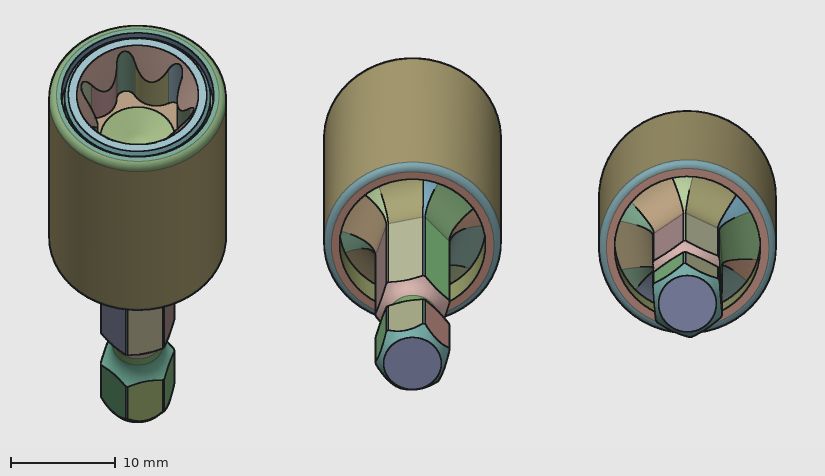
import cadquery as cq
import math

total_height = 50.0

sleeve_radius = 8.45
sleeve_length = 24.0
sleeve_edge_fillet = 0.7
bore_radius = 6.95
sleeve_base_z = total_height - sleeve_length

counterbore_radius = 7.25
counterbore_depth = 2.0
counterbore_taper_height = 0.5
driver_edge_chamfer = 0.35

hex_across_flats = 6.35
hex_corner_radius = 3.6
shank_tip_radius = 2.75
shank_tip_cone_half_angle = 28.0

neck_radius = 2.4
neck_mid_z = 9.5
neck_length = 1.05
neck_flare_radius = 2.4

shoulder_fillet = 5.0
shoulder_start_z = 25.0
shoulder_end_z = shoulder_start_z + shoulder_fillet
shoulder_blank_radius = 2 * shoulder_fillet

lobe_count = 6
socket_depth = 7.0
lobe_tip_distance = 5.55
lobe_tip_arc_radius = 0.9
ridge_distance = 3.95
socket_floor_z = total_height - socket_depth

mouth_radius = 5.8
mouth_cone_half_angle = 30.0

drill_radius = 3.55
drill_point_half_angle = 68.0


def polar(distance, angle):
    """Point at a distance from the axis, with the angle in degrees."""
    return (
        distance * math.cos(math.radians(angle)),
        distance * math.sin(math.radians(angle)),
    )


def cone_height(radius, half_angle):
    """Height of a cone with the given base radius and half angle in degrees."""
    return radius / math.tan(math.radians(half_angle))


def revolve_profile(profile):
    """Turn a closed XZ-plane profile around the Z axis."""
    return profile.close().revolve(360, (0, 0), (0, 1))


def make_sleeve():
    tube = (
        cq.Workplane("XY", origin=(0, 0, sleeve_base_z))
        .circle(sleeve_radius)
        .extrude(sleeve_length)
        .faces("<Z or >Z")
        .edges()
        .fillet(sleeve_edge_fillet)
    )
    tube = tube.cut(
        cq.Workplane("XY", origin=(0, 0, sleeve_base_z)).circle(bore_radius).extrude(sleeve_length)
    )
    return tube.cut(make_counterbore_cutter())


def make_counterbore_cutter():
    """Straight counterbore at the top of the bore, tapering down to the bore."""
    counterbore_floor_z = total_height - counterbore_depth
    taper_base_z = counterbore_floor_z - counterbore_taper_height
    return revolve_profile(
        cq.Workplane("XZ")
        .moveTo(0, total_height)
        .lineTo(counterbore_radius, total_height)
        .lineTo(counterbore_radius, counterbore_floor_z)
        .lineTo(bore_radius, taper_base_z)
        .lineTo(0, taper_base_z)
    )


def make_shank():
    """Hex shank with turned-down corners and a conical tip."""
    corner_to_corner = hex_across_flats / math.cos(math.radians(30))
    hexagon = cq.Workplane("XY").polygon(6, corner_to_corner).extrude(shoulder_end_z)
    tip_height = cone_height(hex_corner_radius - shank_tip_radius, shank_tip_cone_half_angle)
    envelope = revolve_profile(
        cq.Workplane("XZ")
        .lineTo(shank_tip_radius, 0)
        .lineTo(hex_corner_radius, tip_height)
        .lineTo(hex_corner_radius, shoulder_end_z)
        .lineTo(0, shoulder_end_z)
    )
    return hexagon.intersect(envelope)


def make_neck_cutter():
    """Ring that cuts the detent neck, with a flare arc at each end of a straight waist."""
    waist_low_z = neck_mid_z - neck_length / 2
    waist_high_z = neck_mid_z + neck_length / 2
    ring_radius = neck_radius + neck_flare_radius
    arc_drop = neck_flare_radius * math.sqrt(0.5)
    mid_radius = ring_radius - arc_drop
    return revolve_profile(
        cq.Workplane("XZ")
        .moveTo(neck_radius, waist_low_z)
        .lineTo(neck_radius, waist_high_z)
        .threePointArc((mid_radius, waist_high_z + arc_drop), (ring_radius, waist_high_z + neck_flare_radius))
        .lineTo(ring_radius, waist_low_z - neck_flare_radius)
        .threePointArc((mid_radius, waist_low_z - arc_drop), (neck_radius, waist_low_z))
    )


def make_socket_cutter():
    """Six-lobe prism whose lobe tips and ridges are tangent arcs."""
    half_pitch = 180.0 / lobe_count
    tip_centre = lobe_tip_distance - lobe_tip_arc_radius
    cos_pitch = math.cos(math.radians(half_pitch))
    ridge_arc_radius = (
        ridge_distance**2 + tip_centre**2 - 2 * ridge_distance * tip_centre * cos_pitch - lobe_tip_arc_radius**2
    ) / (2 * (lobe_tip_arc_radius - ridge_distance + tip_centre * cos_pitch))
    ridge_centre = ridge_distance + ridge_arc_radius

    ridge_x, ridge_y = polar(ridge_centre, half_pitch)
    share = lobe_tip_arc_radius / (lobe_tip_arc_radius + ridge_arc_radius)
    tangent_x = tip_centre + share * (ridge_x - tip_centre)
    tangent_y = share * ridge_y
    tangent_distance = math.hypot(tangent_x, tangent_y)
    tangent_angle = math.degrees(math.atan2(tangent_y, tangent_x))

    first_lobe_angle = 30.0
    outline = cq.Workplane("XY", origin=(0, 0, socket_floor_z)).moveTo(
        *polar(tangent_distance, first_lobe_angle - tangent_angle)
    )
    for lobe in range(lobe_count):
        angle = first_lobe_angle + 2 * half_pitch * lobe
        next_angle = angle + 2 * half_pitch
        outline = outline.threePointArc(
            polar(lobe_tip_distance, angle), polar(tangent_distance, angle + tangent_angle)
        ).threePointArc(
            polar(ridge_distance, angle + half_pitch), polar(tangent_distance, next_angle - tangent_angle)
        )
    return outline.close().extrude(socket_depth)


def make_mouth_cutter():
    """Cone that opens the socket and runs out at the ridges."""
    mouth_depth = cone_height(mouth_radius - ridge_distance, mouth_cone_half_angle)
    return revolve_profile(
        cq.Workplane("XZ")
        .moveTo(0, total_height)
        .lineTo(mouth_radius, total_height)
        .lineTo(ridge_distance, total_height - mouth_depth)
        .lineTo(0, total_height - mouth_depth)
    )


def make_drill_point_cutter():
    return revolve_profile(
        cq.Workplane("XZ")
        .moveTo(0, socket_floor_z)
        .lineTo(drill_radius, socket_floor_z)
        .lineTo(0, socket_floor_z - cone_height(drill_radius, drill_point_half_angle))
    )


def make_flared_shank():
    """Shank with a fillet on every side, up to a plate wider than the bore."""
    plate = (
        cq.Workplane("XY", origin=(0, 0, shoulder_end_z))
        .circle(shoulder_blank_radius)
        .extrude(total_height - shoulder_end_z)
    )
    blank = plate.union(make_shank())
    underside = blank.faces("<Z[1]")
    shank_joint = underside.val().innerWires()[0].Edges()
    return blank.newObject(shank_joint).fillet(shoulder_fillet)


def make_driver_envelope():
    """Cylinder that fits the bore, with its top edge chamfered."""
    return (
        cq.Workplane("XY")
        .circle(bore_radius)
        .extrude(total_height)
        .faces(">Z")
        .chamfer(driver_edge_chamfer)
    )


def make_driver():
    return (
        make_flared_shank()
        .intersect(make_driver_envelope())
        .cut(make_neck_cutter())
        .cut(make_socket_cutter())
        .cut(make_mouth_cutter())
        .cut(make_drill_point_cutter())
    )


sleeve = make_sleeve()
driver = make_driver()

result = cq.Compound.makeCompound([sleeve.val(), driver.val()])